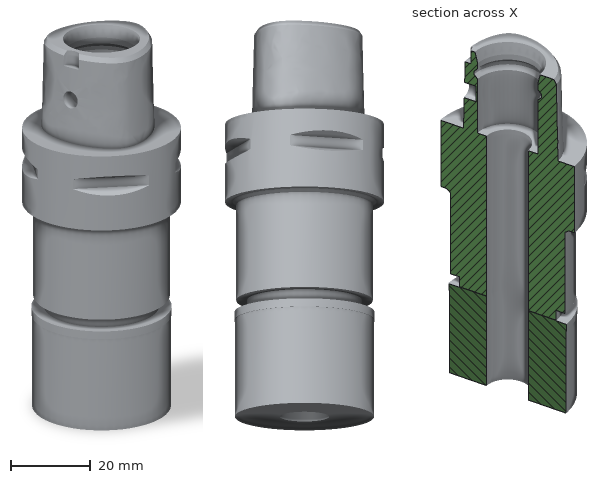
import cadquery as cq
import math

NUT_COLLAR_BOTTOM = 24.7
NUT_TOP = 26.8
NECK_TOP = 29.8
FLANGE_BOTTOM = 55.0
FLANGE_TOP = 75.0
TOP = 99.0

FLANGE_DIAMETER = 40.0
BODY_DIAMETER = 34.4
NECK_DIAMETER = 29.0
NUT_DIAMETER = 35.0
NUT_COLLAR_DIAMETER = 35.3

FLANGE_CONE_DIAMETER = 36.4
FLANGE_CONE_HEIGHT = 0.8

TAPER_BASE_DIAMETER = 28.4
TAPER_RATE = 1 / 20
LOBE_HEIGHT = 0.95
TAPER_CHAMFER_HEIGHT = 1.2
TAPER_CHAMFER_WIDTH = 0.8
LOBE_POINTS = 48

BORE_DIAMETER = 12.4
MOUTH_DIAMETER = 19.4
MOUTH_DEPTH = 3.2
SOCKET_DIAMETER = 17.8
SOCKET_FLOOR_Z = FLANGE_TOP
GROOVE_START_DEPTH = 4.75
GROOVE_END_DEPTH = 7.9
GROOVE_FLANK = 1.06

NOTCH_DIAMETER = 5.1
NOTCH_CENTER_Y = -13.5
NOTCH_DEPTH = 3.9
HOLE_DIAMETER = 4.5
HOLE_Z = 86.5
HOLE_FLOOR_Y = -9.5

SLOT_COUNT = 4
SLOT_START_ANGLE = 45
SLOT_Z = 67.0
SLOT_FLAT_DISTANCE = 17.5
SLOT_FLOOR_HEIGHT = 2.6
SLOT_MOUTH_HEIGHT = 5.2


def cylinder(diameter, bottom, top):
    return cq.Workplane("XY").workplane(offset=bottom).circle(diameter / 2).extrude(top - bottom)


def cone(bottom_diameter, top_diameter, bottom, top):
    return (
        cq.Workplane("XY")
        .workplane(offset=bottom)
        .circle(bottom_diameter / 2)
        .workplane(offset=top - bottom)
        .circle(top_diameter / 2)
        .loft(combine=True)
    )


def lobed_point(diameter, angle):
    """Point on a constant-width three-lobed curve with one lobe towards +Y."""
    radial = diameter / 2 - LOBE_HEIGHT * math.sin(3 * angle)
    tangential = -3 * LOBE_HEIGHT * math.cos(3 * angle)
    x = radial * math.cos(angle) - tangential * math.sin(angle)
    y = radial * math.sin(angle) + tangential * math.cos(angle)
    return x, y


def lobed_prism(bottom_diameter, top_diameter, bottom, top):
    def outline(diameter):
        return [lobed_point(diameter, 2 * math.pi * i / LOBE_POINTS) for i in range(LOBE_POINTS)]

    return (
        cq.Workplane("XY")
        .workplane(offset=bottom)
        .spline(outline(bottom_diameter), periodic=True)
        .close()
        .workplane(offset=top - bottom)
        .spline(outline(top_diameter), periodic=True)
        .close()
        .loft(ruled=True)
    )


def make_taper():
    chamfer_bottom = TOP - TAPER_CHAMFER_HEIGHT
    upper_diameter = TAPER_BASE_DIAMETER - TAPER_RATE * (chamfer_bottom - FLANGE_TOP)
    rim_diameter = upper_diameter - 2 * TAPER_CHAMFER_WIDTH
    shank = lobed_prism(TAPER_BASE_DIAMETER, upper_diameter, FLANGE_TOP, chamfer_bottom)
    return shank.union(lobed_prism(upper_diameter, rim_diameter, chamfer_bottom, TOP))


def make_gripper_slot(angle):
    """Trapezoidal cutter whose floor is a flat chord across the flange."""
    outer = FLANGE_DIAMETER / 2
    half_floor = SLOT_FLOOR_HEIGHT / 2
    half_mouth = SLOT_MOUTH_HEIGHT / 2
    return (
        cq.Workplane("XZ")
        .polyline(
            [
                (SLOT_FLAT_DISTANCE, SLOT_Z - half_floor),
                (outer, SLOT_Z - half_mouth),
                (outer, SLOT_Z + half_mouth),
                (SLOT_FLAT_DISTANCE, SLOT_Z + half_floor),
            ]
        )
        .close()
        .extrude(outer, both=True)
        .rotate((0, 0, 0), (0, 0, 1), angle)
    )


def make_bore():
    """Revolved cutter for the mouth, socket, clamping groove and through bore."""
    bore_radius = BORE_DIAMETER / 2
    socket_radius = SOCKET_DIAMETER / 2
    groove_radius = socket_radius + GROOVE_FLANK
    groove_top = TOP - GROOVE_START_DEPTH
    groove_bottom = TOP - GROOVE_END_DEPTH
    return (
        cq.Workplane("XZ")
        .moveTo(0, NUT_TOP)
        .lineTo(bore_radius, NUT_TOP)
        .lineTo(bore_radius, SOCKET_FLOOR_Z)
        .lineTo(socket_radius, SOCKET_FLOOR_Z)
        .lineTo(socket_radius, groove_bottom)
        .lineTo(groove_radius, groove_bottom + GROOVE_FLANK)
        .lineTo(groove_radius, groove_top - GROOVE_FLANK)
        .lineTo(socket_radius, groove_top)
        .lineTo(socket_radius, TOP - MOUTH_DEPTH)
        .lineTo(MOUTH_DIAMETER / 2, TOP)
        .lineTo(0, TOP)
        .close()
        .revolve(360, (0, 0, 0), (0, 1, 0))
    )


def make_coding_hole():
    return (
        cq.Workplane("XZ", origin=(0, HOLE_FLOOR_Y, HOLE_Z))
        .circle(HOLE_DIAMETER / 2)
        .extrude(TAPER_BASE_DIAMETER / 2)
    )


def make_holder():
    holder = cylinder(NECK_DIAMETER, NUT_TOP, NECK_TOP)
    holder = holder.union(cylinder(BODY_DIAMETER, NECK_TOP, FLANGE_BOTTOM))
    cone_bottom = FLANGE_BOTTOM - FLANGE_CONE_HEIGHT
    holder = holder.union(cone(BODY_DIAMETER, FLANGE_CONE_DIAMETER, cone_bottom, FLANGE_BOTTOM))
    holder = holder.union(cylinder(FLANGE_DIAMETER, FLANGE_BOTTOM, FLANGE_TOP))
    holder = holder.union(make_taper())
    for i in range(SLOT_COUNT):
        holder = holder.cut(make_gripper_slot(SLOT_START_ANGLE + i * 360 / SLOT_COUNT))
    holder = holder.cut(make_bore())
    notch = cylinder(NOTCH_DIAMETER, TOP - NOTCH_DEPTH, TOP).translate((0, NOTCH_CENTER_Y, 0))
    return holder.cut(notch).cut(make_coding_hole())


def make_nut():
    nut = cylinder(NUT_DIAMETER, 0, NUT_COLLAR_BOTTOM)
    nut = nut.union(cylinder(NUT_COLLAR_DIAMETER, NUT_COLLAR_BOTTOM, NUT_TOP))
    return nut.cut(cylinder(BORE_DIAMETER, 0, NUT_TOP))


holder = make_holder()
nut = make_nut()

result = cq.Compound.makeCompound([holder.val(), nut.val()])